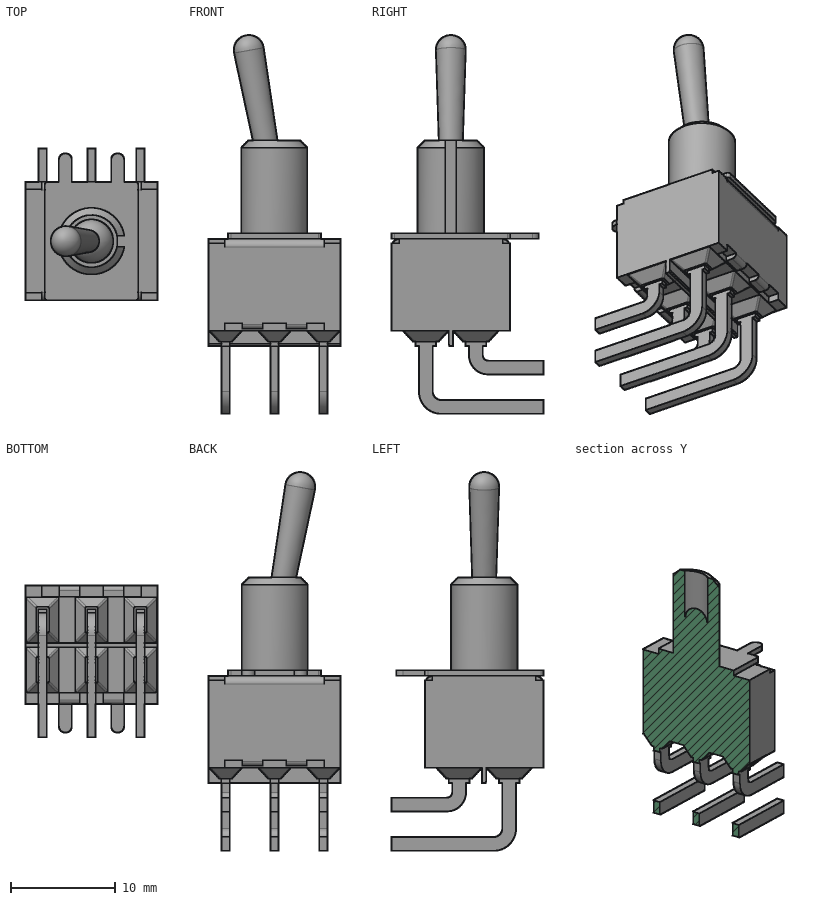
import cadquery as cq
import math


overall_y = 14.6
overall_height = 36.43

housing_x = 12.7
housing_y = 11.4
housing_top = 8.85
frame_width = 9.55
frame_bend_radius = 0.75
corner_step_length = 0.73
corner_step_drop = 0.4
notch_height = 0.73
notch_depth = 1.1
clip_width = 1.95
clip_pitch = 4.23
clip_bottom = 0.22
clip_fold_radius = 0.45

plate_x = 8.95
plate_thickness = 0.55
plate_corner_radius = 0.25
tab_width = 1.28
tab_pitch = 5.03
tab_tip_y = 8.45

bushing_diameter = 6.4
bushing_top = 18.32
bushing_chamfer = 0.7
bore_diameter = 4.2
keyway_width = 1.05
keyway_floor_radius = 2.48

pivot_depth = 4.9
lever_tilt = 10.3
lever_root_radius = 1.02
lever_tip_radius = 1.45

terminal_thickness = 0.8
terminal_width = 1.35
column_pitch = 4.7
row_offset = 2.4
upper_leg_bottom = -4.2
lower_leg_bottom = -7.98
upper_bend_radius = 0.5
lower_bend_radius = 0.82
shoulder_width = 2.0
underside_depth = 1.45

mound_x = 3.15
mound_y = 4.37
mound_height = 1.02
mound_inset = 0.95
mound_edge_radius = 0.22
divider_thickness = 0.45
divider_bevel_height = 0.22
divider_bevel_depth = 0.07

plate_top = housing_top + plate_thickness
pivot_z = bushing_top - pivot_depth
tip_centre_z = lower_leg_bottom + overall_height - lever_tip_radius
lever_length = (tip_centre_z - pivot_z) / math.cos(math.radians(lever_tilt))
terminal_end_y = overall_y - housing_y / 2
diagonal = math.sqrt(0.5)
columns = [-column_pitch, 0, column_pitch]


def block(x_size, y_size, z_low, z_high, x=0, y=0):
    """Box centred at (x, y) between two heights."""
    return (
        cq.Workplane("XY", origin=(x, y, z_low))
        .rect(x_size, y_size)
        .extrude(z_high - z_low)
    )


def make_frame_core():
    """Middle stretch of the housing, with the rounded frame bends on top."""
    return block(frame_width, housing_y, 0, housing_top).edges("|X and >Z").fillet(frame_bend_radius)


def make_housing_end(side):
    """Side wall with a small step at both upper corners."""
    end_x = (housing_x - frame_width) / 2
    x = side * (frame_width + end_x) / 2
    lower = block(end_x, housing_y, 0, housing_top - corner_step_drop, x)
    upper = block(end_x, housing_y - 2 * corner_step_length, 0, housing_top, x)
    return lower.union(upper)


def make_folded_clip(x, side):
    """Frame ear with its lower outer edge rounded, inside a wall notch."""
    y = side * (housing_y - notch_depth) / 2
    outer_edge = ">Y and <Z" if side > 0 else "<Y and <Z"
    clip = block(clip_width, notch_depth, clip_bottom, notch_height, x, y)
    return clip.edges(outer_edge).fillet(clip_fold_radius)


def make_housing():
    housing = make_frame_core()
    for side in (-1, 1):
        housing = housing.union(make_housing_end(side))
    for side in (-1, 1):
        notch_y = side * (housing_y - notch_depth) / 2
        housing = housing.cut(block(frame_width, notch_depth, 0, notch_height, y=notch_y))
        for x in (-clip_pitch / 2, clip_pitch / 2):
            housing = housing.union(make_folded_clip(x, side))
    return housing


def make_plate():
    """Top plate with two round-ended tabs towards +Y."""
    plate = block(plate_x, housing_y, housing_top, plate_top).edges("|Z").fillet(plate_corner_radius)
    tip_centre_y = tab_tip_y - tab_width / 2
    for x in (-tab_pitch / 2, tab_pitch / 2):
        stem = block(tab_width, tip_centre_y, housing_top, plate_top, x, tip_centre_y / 2)
        tip = (
            cq.Workplane("XY", origin=(x, tip_centre_y, housing_top))
            .circle(tab_width / 2)
            .extrude(plate_thickness)
        )
        plate = plate.union(stem).union(tip)
    return plate


def make_bushing():
    """Chamfered sleeve with a keyway on +X and a bore down to the lever ball."""
    sleeve = (
        cq.Workplane("XY", origin=(0, 0, plate_top))
        .circle(bushing_diameter / 2)
        .extrude(bushing_top - plate_top)
        .faces(">Z")
        .chamfer(bushing_chamfer)
    )
    bore = cq.Workplane("XY", origin=(0, 0, pivot_z)).circle(bore_diameter / 2).extrude(pivot_depth)
    keyway_depth = bushing_diameter / 2 - keyway_floor_radius
    keyway_x = keyway_floor_radius + keyway_depth / 2
    keyway = block(keyway_depth, keyway_width, plate_top, bushing_top, keyway_x)
    return sleeve.cut(bore).cut(keyway)


def make_lever():
    """Tapered lever with a hemispherical tip, on a ball that fills the bore."""
    arc_step = lever_tip_radius * diagonal
    stick = (
        cq.Workplane("XZ")
        .lineTo(lever_root_radius, 0)
        .lineTo(lever_tip_radius, lever_length)
        .threePointArc((arc_step, lever_length + arc_step), (0, lever_length + lever_tip_radius))
        .close()
        .revolve(360, (0, 0), (0, 1))
    )
    ball = cq.Workplane("XY").sphere(bore_diameter / 2)
    tilted_stick = stick.rotate((0, 0, 0), (0, 1, 0), -lever_tilt)
    return ball.union(tilted_stick).translate((0, 0, pivot_z))


def make_terminal(x, y, leg_bottom, bend_radius):
    """Flat terminal going down from the housing and bending towards +Y."""
    half_width = terminal_width / 2
    leg_top = leg_bottom + terminal_width
    outer_radius = bend_radius + terminal_width
    near_y = y - half_width
    far_y = y + half_width
    bend_y = far_y + bend_radius
    bend_z = leg_top + bend_radius
    strip = (
        cq.Workplane("YZ", origin=(x - terminal_thickness / 2, 0, 0))
        .moveTo(near_y, notch_height)
        .lineTo(near_y, bend_z)
        .threePointArc(
            (bend_y - outer_radius * diagonal, bend_z - outer_radius * diagonal),
            (bend_y, leg_bottom),
        )
        .lineTo(terminal_end_y, leg_bottom)
        .lineTo(terminal_end_y, leg_top)
        .lineTo(bend_y, leg_top)
        .threePointArc(
            (bend_y - bend_radius * diagonal, bend_z - bend_radius * diagonal),
            (far_y, bend_z),
        )
        .lineTo(far_y, notch_height)
        .close()
        .extrude(terminal_thickness)
    )
    shoulder = block(terminal_thickness, shoulder_width, -underside_depth, 0, x, y)
    return strip.union(shoulder)


def make_divider():
    """Thin wall between the terminal rows, with its lower front edge bevelled."""
    divider = block(housing_x, divider_thickness, -underside_depth, 0)
    return divider.edges("<Y and <Z").chamfer(divider_bevel_height, divider_bevel_depth)


def make_mound(x, y):
    """Sealant around a terminal, narrowing downwards."""
    taper = math.degrees(math.atan2(mound_inset, mound_height))
    return (
        cq.Workplane("XY", origin=(x, y, 0))
        .rect(mound_x, mound_y)
        .extrude(-mound_height, taper=taper)
        .edges("not #Z")
        .fillet(mound_edge_radius)
    )


result = make_housing().union(make_plate()).union(make_bushing()).union(make_lever())
result = result.union(make_divider())
for column_x in columns:
    for row_y in (-row_offset, row_offset):
        result = result.union(make_mound(column_x, row_y))
    result = result.union(make_terminal(column_x, -row_offset, lower_leg_bottom, lower_bend_radius))
    result = result.union(make_terminal(column_x, row_offset, upper_leg_bottom, upper_bend_radius))